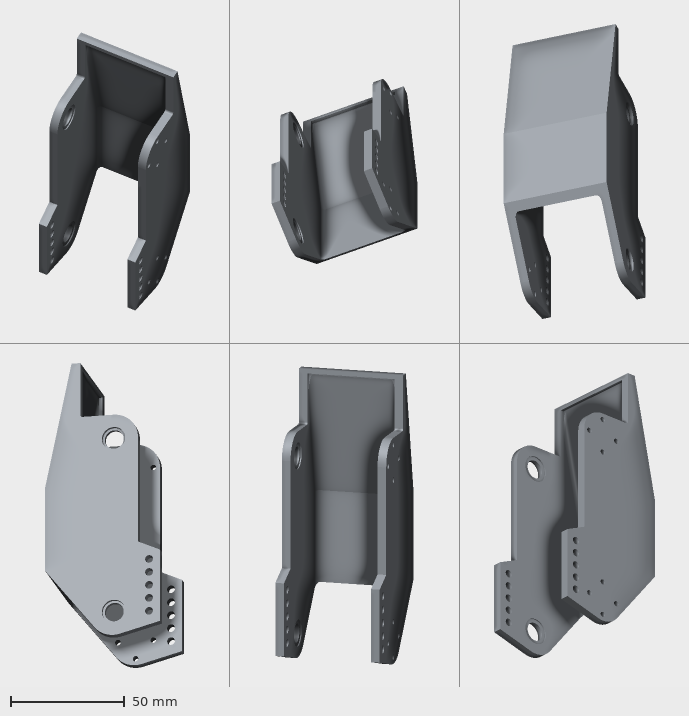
import cadquery as cq
import math

width = 48.0
plate_thickness = 4.0
back_thickness = 3.0

total_depth = 52.0
total_height = 127.0
upright_front_y = 36.0
upright_top_thickness = 4.0
bend_z = 70.0
back_bottom_z = 32.0
body_front_y = 10.0
tab_shoulder_z = 42.5
tab_top_z = 38.0
tab_bottom_z = 5.0
notch_fillet = 1.0

pivot_radius = 11.0
pivot_y = body_front_y + pivot_radius
lower_pivot_z = pivot_radius
pivot_spacing = 80.0
upper_pivot_z = lower_pivot_z + pivot_spacing
shoulder_z = upper_pivot_z + pivot_radius

cavity_width = width - 2 * plate_thickness
cavity_fillet = 2.0
top_rim_height = 2.0
cavity_top_z = total_height - top_rim_height
rim_recess_depth = 1.5

bearing_hole_diameter = 8.5
bearing_seat_diameter = 10.5
bearing_seat_depth = 1.5
inner_recess_diameter = 12.0
inner_recess_depth = 0.5
horn_hole_diameter = 2.5
horn_circle_radius = 8.0
horn_hole_count = 4
tab_hole_diameter = 3.5
tab_hole_y = 5.0
tab_hole_first_z = 10.0
tab_hole_pitch = 6.0
tab_hole_count = 5

margin = 5.0


def tangent_point(y, z, turn):
    """Where a line from (y, z) touches the lower pivot corner; turn is +1 or -1 for either tangent."""
    dy = y - pivot_y
    dz = z - lower_pivot_z
    spread = math.acos(pivot_radius / math.hypot(dy, dz))
    angle = math.atan2(dz, dy) + turn * spread
    return (pivot_y + pivot_radius * math.cos(angle), lower_pivot_z + pivot_radius * math.sin(angle))


def side_prism(profile, length):
    """Extrude a YZ profile symmetrically about X = 0."""
    return profile.close().extrude(length / 2, both=True)


def make_blank():
    """Solid block with the side outline, before the cavity and holes."""
    front_tangent = tangent_point(0, tab_bottom_z, turn=1)
    back_tangent = tangent_point(total_depth, back_bottom_z, turn=-1)
    lowest = (pivot_y, lower_pivot_z - pivot_radius)
    diagonal = pivot_radius * math.sqrt(0.5)
    profile = (
        cq.Workplane("YZ")
        .moveTo(total_depth, back_bottom_z)
        .lineTo(total_depth, bend_z)
        .lineTo(upright_front_y + upright_top_thickness, total_height)
        .lineTo(upright_front_y, total_height)
        .lineTo(upright_front_y, shoulder_z + notch_fillet)
        .radiusArc((upright_front_y - notch_fillet, shoulder_z), notch_fillet)
        .lineTo(pivot_y, shoulder_z)
        .threePointArc((pivot_y - diagonal, upper_pivot_z + diagonal), (body_front_y, upper_pivot_z))
        .lineTo(body_front_y, tab_shoulder_z)
        .lineTo(0, tab_top_z)
        .lineTo(0, tab_bottom_z)
        .lineTo(*front_tangent)
        .threePointArc(lowest, back_tangent)
    )
    return side_prism(profile, width)


def make_cavity():
    """Space between the plates, rounded where the plates meet the back wall, with a step under the rim."""
    back_y = total_depth - back_thickness
    run = total_depth - upright_front_y - upright_top_thickness
    rise = total_height - bend_z
    lean = math.atan2(run, rise)
    inner_bend_z = bend_z - back_thickness * math.tan(lean / 2)
    inner_top_y = back_y - (cavity_top_z - inner_bend_z) * math.tan(lean)
    profile = (
        cq.Workplane("YZ")
        .moveTo(-margin, -margin)
        .lineTo(back_y, -margin)
        .lineTo(back_y, inner_bend_z)
        .lineTo(inner_top_y, cavity_top_z)
        .lineTo(-margin, cavity_top_z)
    )
    back_corners = cq.selectors.BoxSelector(
        (-width, inner_top_y - margin, 0), (width, back_y + margin, cavity_top_z - margin)
    )
    cavity = side_prism(profile, cavity_width)
    cavity = cavity.faces(">X or <X").edges(back_corners).fillet(cavity_fillet)
    recess_back_y = upright_front_y + rim_recess_depth
    recess = (
        cq.Workplane("XY", origin=(0, 0, shoulder_z))
        .rect(cavity_width, 2 * recess_back_y)
        .extrude(cavity_top_z - shoulder_z)
    )
    return cavity.union(recess)


def x_cylinder(x, y, z, diameter, length):
    """Cylinder along +X starting at the given point."""
    return cq.Workplane("YZ", origin=(x, y, z)).circle(diameter / 2).extrude(length)


def cut_bearing_hole(body, z):
    """Stepped hole in the -X plate: seat on the outer face, shallow recess on the inner face."""
    hole = x_cylinder(-width / 2, pivot_y, z, bearing_hole_diameter, plate_thickness)
    seat = x_cylinder(-width / 2, pivot_y, z, bearing_seat_diameter, bearing_seat_depth)
    recess_start_x = -cavity_width / 2 - inner_recess_depth
    recess = x_cylinder(recess_start_x, pivot_y, z, inner_recess_diameter, inner_recess_depth)
    return body.cut(hole).cut(seat).cut(recess)


def cut_horn_holes(body, z):
    """Ring of screw holes through the +X plate."""
    inner_face_x = cavity_width / 2
    for index in range(horn_hole_count):
        angle = 2 * math.pi * index / horn_hole_count
        hole_y = pivot_y + horn_circle_radius * math.cos(angle)
        hole_z = z + horn_circle_radius * math.sin(angle)
        body = body.cut(x_cylinder(inner_face_x, hole_y, hole_z, horn_hole_diameter, plate_thickness))
    return body


def cut_tab_holes(body):
    """Row of holes through the front tabs of both plates."""
    for index in range(tab_hole_count):
        hole_z = tab_hole_first_z + index * tab_hole_pitch
        body = body.cut(x_cylinder(-width / 2, tab_hole_y, hole_z, tab_hole_diameter, width))
    return body


result = make_blank().cut(make_cavity())
for pivot_z in (lower_pivot_z, upper_pivot_z):
    result = cut_bearing_hole(result, pivot_z)
    result = cut_horn_holes(result, pivot_z)
result = cut_tab_holes(result)